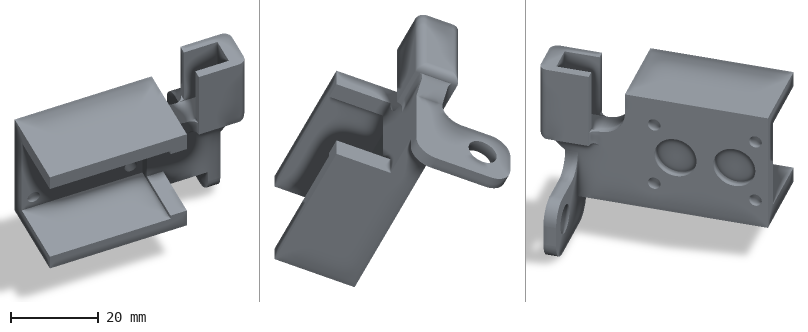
import cadquery as cq
import math

total_length = 54.05
ear_drop = 8.0
clip_top = 34.4

channel_width = 20.0
channel_length = 34.05
channel_height = 29.9
web_thickness = 4.0
flange_thickness = 3.85
recess_length = 30.0
rear_lip = 1.0

screw_diameter = 3.0
screw_front_y = 2.95
screw_rear_y = 27.1
screw_spacing_z = 15.9
pocket_diameter = 10.0
pocket_depth = 2.0
pocket_positions_y = (8.0, 22.0)

neck_thickness = 6.5
neck_top = 18.55
neck_round = 6.0

ear_thickness = 3.0
ear_back = 48.25
ear_reach = 17.0
ear_top = 6.95
ear_radius = 4.95
ear_hole_diameter = 7.0
ear_hole_inset = 6.9
ear_hole_z = 0.1

clip_wall = 2.0
clip_bottom = 15.5
clip_slot_back = 50.4
corner_radius = 2.0
under_fillet = 0.75

overlap = 0.55
mid_z = channel_height / 2
ear_front = ear_back - ear_thickness
arc_center_y = channel_length + neck_round
arc_center_z = neck_top + neck_round
flare_front = arc_center_y
clip_front = flare_front + corner_radius
clip_left = -clip_wall
clip_right = neck_thickness + clip_wall
clip_back_flat = total_length - corner_radius
flare_bottom = clip_bottom - under_fillet
neck_step = ear_top + ear_radius
rear_slope = (clip_back_flat - ear_back) / (clip_bottom - neck_step)
slope_y_at_flare = ear_back + rear_slope * (flare_bottom - neck_step)
diagonal = math.sqrt(0.5)


def box(x0, x1, y0, y1, z0, z1):
    """Box spanning the given coordinate limits."""
    return cq.Workplane("XY").box(x1 - x0, y1 - y0, z1 - z0, centered=False).translate((x0, y0, z0))


def web_cylinders(points, diameter, depth):
    """Cylinders entering the web from its outer face at (y, z) points."""
    return cq.Workplane("YZ").pushPoints(points).circle(diameter / 2).extrude(depth)


def make_channel():
    body = box(0, channel_width, 0, channel_length, 0, channel_height)
    recess = box(
        web_thickness, channel_width + overlap, -overlap, recess_length,
        flange_thickness, channel_height - flange_thickness,
    )
    rear_opening = box(
        neck_thickness, channel_width + overlap, 0, channel_length + overlap,
        flange_thickness + rear_lip, channel_height - flange_thickness - rear_lip,
    )
    screw_points = [
        (y, mid_z + side * screw_spacing_z / 2)
        for y in (screw_front_y, screw_rear_y)
        for side in (-1, 1)
    ]
    screws = web_cylinders(screw_points, screw_diameter, web_thickness + overlap)
    pockets = web_cylinders([(y, mid_z) for y in pocket_positions_y], pocket_diameter, pocket_depth)
    return body.cut(recess).cut(rear_opening).cut(screws).cut(pockets)


def make_neck():
    return (
        cq.Workplane("YZ")
        .moveTo(channel_length, 0)
        .lineTo(ear_back, 0)
        .lineTo(ear_back, neck_step)
        .lineTo(clip_back_flat, clip_bottom)
        .lineTo(clip_back_flat, neck_top)
        .lineTo(arc_center_y, neck_top)
        .threePointArc(
            (arc_center_y - neck_round * diagonal, arc_center_z - neck_round * diagonal),
            (channel_length, arc_center_z),
        )
        .close()
        .extrude(neck_thickness)
    )


def make_ear():
    plate = box(-ear_reach, neck_thickness, ear_front, ear_back, -ear_drop, ear_top)
    plate = plate.edges("|Y and (<X or <Z)").fillet(ear_radius)
    stem = box(0, neck_thickness, ear_front, ear_back, 0, neck_step)
    web = box(-ear_radius, 0, ear_front, ear_back, ear_top, neck_step)
    round_cut = (
        cq.Workplane("XZ", origin=(0, ear_back, 0))
        .center(-ear_radius, neck_step)
        .circle(ear_radius)
        .extrude(ear_thickness)
    )
    hole = (
        cq.Workplane("XZ", origin=(0, ear_back, 0))
        .center(ear_hole_inset - ear_reach, ear_hole_z)
        .circle(ear_hole_diameter / 2)
        .extrude(ear_thickness)
    )
    return plate.union(stem).union(web.cut(round_cut)).cut(hole)


def make_clip():
    """U-shaped clip blended into the neck: the common volume of its three outlines."""
    arc_offset = corner_radius * (1 - diagonal)
    under_offset = under_fillet * (1 - diagonal)

    plan = (
        cq.Workplane("XY", origin=(0, 0, flare_bottom))
        .moveTo(0, flare_front)
        .threePointArc((-arc_offset, clip_front - arc_offset), (clip_left, clip_front))
        .lineTo(clip_left, clip_back_flat)
        .threePointArc((clip_left + arc_offset, total_length - arc_offset), (0, total_length))
        .lineTo(neck_thickness, total_length)
        .threePointArc((clip_right - arc_offset, total_length - arc_offset), (clip_right, clip_back_flat))
        .lineTo(clip_right, clip_front)
        .threePointArc((neck_thickness + arc_offset, clip_front - arc_offset), (neck_thickness, flare_front))
        .close()
        .extrude(clip_top - flare_bottom)
    )

    front = (
        cq.Workplane("XZ", origin=(0, total_length, 0))
        .moveTo(0, flare_bottom)
        .threePointArc((-under_offset, clip_bottom - under_offset), (-under_fillet, clip_bottom))
        .lineTo(clip_left, clip_bottom)
        .lineTo(clip_left, clip_top)
        .lineTo(clip_right, clip_top)
        .lineTo(clip_right, clip_bottom)
        .lineTo(neck_thickness + under_fillet, clip_bottom)
        .threePointArc(
            (neck_thickness + under_offset, clip_bottom - under_offset),
            (neck_thickness, flare_bottom),
        )
        .close()
        .extrude(total_length - flare_front)
    )

    def neck_round_point(distance):
        """Point on the neck round, at a distance along Y behind its center."""
        drop = math.sqrt(neck_round**2 - distance**2)
        return arc_center_y + distance, arc_center_z - drop

    side = (
        cq.Workplane("YZ", origin=(clip_left, 0, 0))
        .moveTo(flare_front, flare_bottom)
        .lineTo(slope_y_at_flare, flare_bottom)
        .lineTo(clip_back_flat, clip_bottom)
        .threePointArc(
            (total_length - arc_offset, clip_bottom + arc_offset),
            (total_length, clip_bottom + corner_radius),
        )
        .lineTo(total_length, clip_top)
        .lineTo(clip_front, clip_top)
        .lineTo(*neck_round_point(corner_radius))
        .threePointArc(neck_round_point(corner_radius / 2), neck_round_point(0))
        .close()
        .extrude(clip_right - clip_left)
    )
    return plan.intersect(front).intersect(side)


clip_slot = box(0, neck_thickness, flare_front, clip_slot_back, neck_top, clip_top + overlap)

result = make_channel().union(make_neck()).union(make_ear()).union(make_clip()).cut(clip_slot)